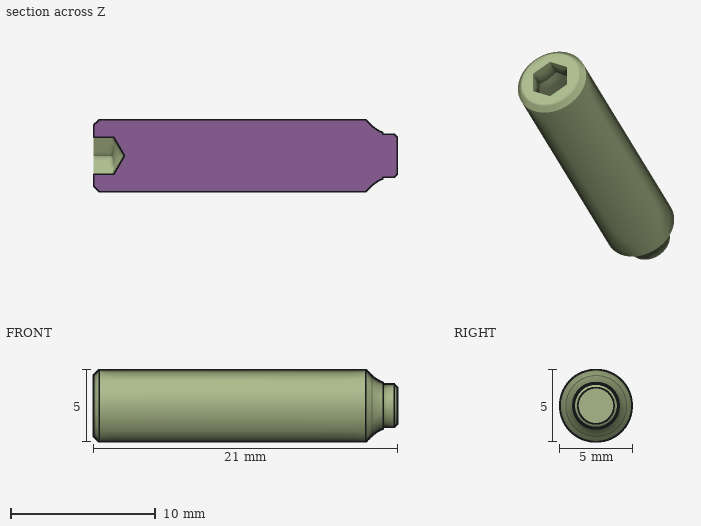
import cadquery as cq
import math

total_length = 21.0
body_radius = 2.5

end_chamfer = 0.4
end_face_radius = 2.07
edge_break_radius = 2.15
edge_break_length = 0.04

tip_radius = 1.5
tip_length = 1.0
tip_chamfer = 0.25

taper_chamfer = 0.4
neck_length = 0.8
neck_end_radius = 1.6
neck_arc_sag = 0.05

hex_across_flats = 2.5
hex_depth = 1.3
drill_point_angle = 120.0

tip_start = total_length - tip_length
neck_start = tip_start - neck_length
taper_start = neck_start - taper_chamfer
neck_start_radius = body_radius - taper_chamfer


def neck_arc_midpoint():
    """Point on the neck arc, moved from the chord centre toward the axis."""
    drop = neck_start_radius - neck_end_radius
    chord = math.hypot(neck_length, drop)
    x = (neck_start + tip_start) / 2 - neck_arc_sag * drop / chord
    r = (neck_start_radius + neck_end_radius) / 2 - neck_arc_sag * neck_length / chord
    return x, r


def screw_blank():
    """Half profile revolved about the X axis."""
    return (
        cq.Workplane("XY")
        .moveTo(0, 0)
        .lineTo(0, end_face_radius)
        .lineTo(edge_break_length, edge_break_radius)
        .lineTo(end_chamfer, body_radius)
        .lineTo(taper_start, body_radius)
        .lineTo(neck_start, neck_start_radius)
        .threePointArc(neck_arc_midpoint(), (tip_start, neck_end_radius))
        .lineTo(tip_start, tip_radius)
        .lineTo(total_length - tip_chamfer, tip_radius)
        .lineTo(total_length, tip_radius - tip_chamfer)
        .lineTo(total_length, 0)
        .close()
        .revolve(360, (0, 0, 0), (1, 0, 0))
    )


def hex_socket():
    """Hexagonal recess with flats facing +-Y and a conical drill-point bottom."""
    corner_radius = hex_across_flats / math.sqrt(3)
    cone_height = corner_radius / math.tan(math.radians(drill_point_angle / 2))
    prism = (
        cq.Workplane("YZ")
        .polygon(6, 2 * corner_radius)
        .extrude(hex_depth + cone_height)
        .rotate((0, 0, 0), (1, 0, 0), 30)
    )
    drilled_envelope = (
        cq.Workplane("XY")
        .moveTo(0, 0)
        .lineTo(0, corner_radius)
        .lineTo(hex_depth, corner_radius)
        .lineTo(hex_depth + cone_height, 0)
        .close()
        .revolve(360, (0, 0, 0), (1, 0, 0))
    )
    return prism.intersect(drilled_envelope)


result = screw_blank().cut(hex_socket())